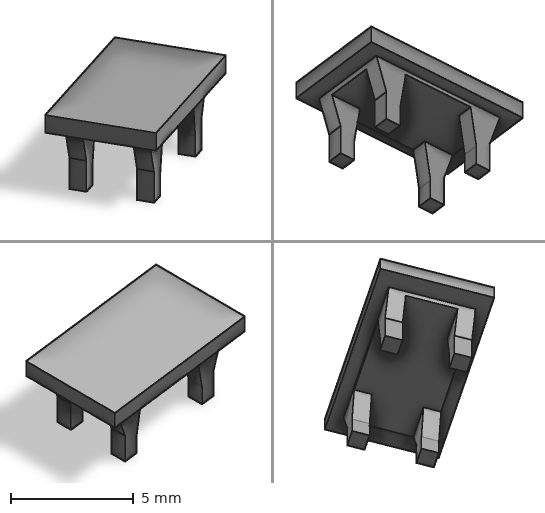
import cadquery as cq

top_width = 4.85
top_length = 8.0
top_thickness = 0.8
total_height = 3.8

base_width = 3.7
base_length = 6.51
slab_thickness = 0.22

leg_width = 0.74
foot_length = 0.72
feet_span = 5.46
outer_knee_height = 1.4
inner_knee_height = 0.94
inner_span_at_slab = 3.42

top_underside = total_height - top_thickness
slab_underside = top_underside - slab_thickness
foot_outer = feet_span / 2
foot_inner = foot_outer - foot_length


def make_top():
    return (
        cq.Workplane("XY", origin=(0, 0, top_underside))
        .rect(top_width, top_length)
        .extrude(top_thickness)
    )


def make_base():
    """Slab and legs as one side profile, split lengthwise by a central gap."""
    half_profile = [
        (base_length / 2, top_underside),
        (foot_outer, outer_knee_height),
        (foot_outer, 0),
        (foot_inner, 0),
        (foot_inner, inner_knee_height),
        (inner_span_at_slab / 2, slab_underside),
    ]
    mirrored_half = [(-y, z) for y, z in reversed(half_profile)]
    base = (
        cq.Workplane("YZ")
        .polyline(half_profile + mirrored_half)
        .close()
        .extrude(base_width / 2, both=True)
    )
    gap_width = base_width - 2 * leg_width
    gap = (
        cq.Workplane("XY")
        .rect(gap_width, base_length)
        .extrude(slab_underside)
    )
    return base.cut(gap)


result = make_top().union(make_base())